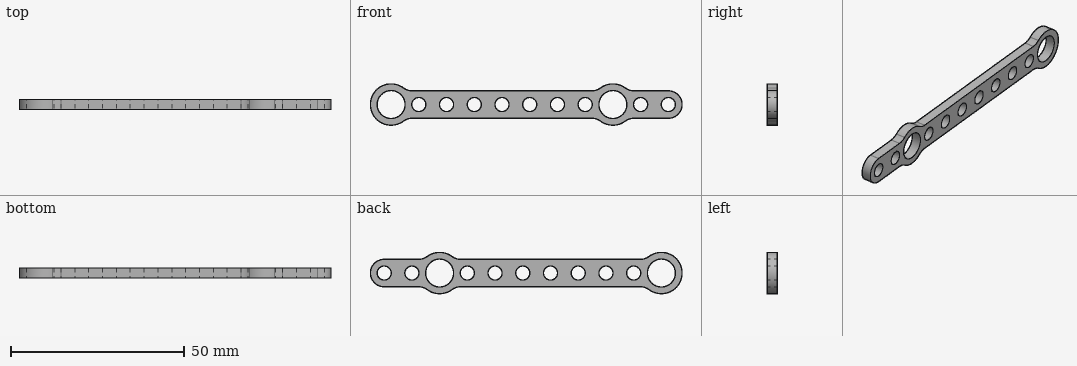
import cadquery as cq
import math

thickness = 3.0
hole_pitch = 8.0
last_hole_index = 10
ring_indices = (0, 8)
bar_width = 8.0
ring_diameter = 12.0
bore_diameter = 8.0
small_hole_diameter = 4.0
blend_radius = 4.0

back_face_origin = (0, thickness / 2, 0)
bar_end_x = last_hole_index * hole_pitch
bar_half_width = bar_width / 2
ring_radius = ring_diameter / 2
ring_centers = [index * hole_pitch for index in ring_indices]
small_hole_centers = [
    index * hole_pitch
    for index in range(last_hole_index + 1)
    if index not in ring_indices
]


def discs(centers_x, diameter):
    """Round plugs through the full thickness, on the bar's centre line."""
    return (
        cq.Workplane("XZ", origin=back_face_origin)
        .pushPoints([(x, 0) for x in centers_x])
        .circle(diameter / 2)
        .extrude(thickness)
    )


def make_bar():
    """Straight bar from the end ring's centre to the rounded far end."""
    return (
        cq.Workplane("XZ", origin=back_face_origin)
        .moveTo(0, -bar_half_width)
        .lineTo(bar_end_x, -bar_half_width)
        .threePointArc((bar_end_x + bar_half_width, 0), (bar_end_x, bar_half_width))
        .lineTo(0, bar_half_width)
        .close()
        .extrude(thickness)
    )


def blend_rings(body):
    """Fillet the concave corners where the ring outlines meet the bar edges."""
    corner_offset = math.sqrt(ring_radius**2 - bar_half_width**2)
    corners_x = [center + corner_offset for center in ring_centers]
    corners_x += [center - corner_offset for center in ring_centers[1:]]
    corner_edges = cq.Workplane("XZ")
    for x in corners_x:
        for z in (-bar_half_width, bar_half_width):
            corner = cq.selectors.NearestToPointSelector((x, 0, z))
            corner_edges = corner_edges.add(body.edges("|Y").edges(corner))
    return body.newObject(corner_edges.vals()).fillet(blend_radius)


link = blend_rings(make_bar().union(discs(ring_centers, ring_diameter)))
link = link.cut(discs(ring_centers, bore_diameter))
result = link.cut(discs(small_hole_centers, small_hole_diameter))